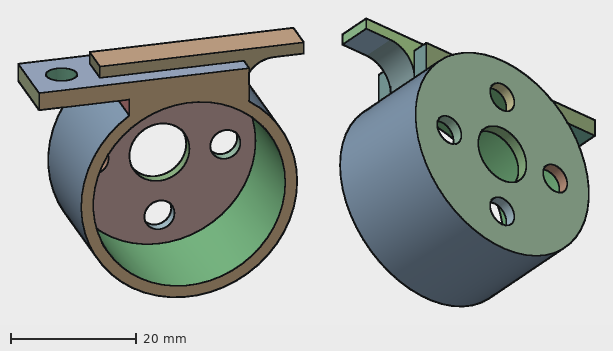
import cadquery as cq

drum_diameter = 36.0
drum_length = 19.0
cavity_diameter = 32.0
end_wall = 2.0
bore_diameter = 10.0
small_hole_diameter = 5.0
bolt_circle_radius = 11.0
bolt_count = 4

plate_width = 12.0
plate_thickness = 3.0
plate_top = 20.8
plate_back = 10.0
plate_front = -25.0
block_front = -plate_back
plate_hole_y = -19.55

bar_width = 6.0
bar_thickness = 2.0
bar_back = 20.0
bar_front = -14.0
fillet_radius = 5.0

plate_start_x = drum_length - plate_width
plate_middle_x = drum_length - plate_width / 2
bar_start_x = plate_middle_x - bar_width / 2


def box(x_start, x_size, y_start, y_end, z_start, z_end):
    """Box placed by its limits along Y and Z and its start and size along X."""
    size = (x_size, y_end - y_start, z_end - z_start)
    return cq.Workplane("XY").box(*size, centered=False).translate((x_start, y_start, z_start))


def cylinder_x(diameter, length, x_start=0.0):
    """Cylinder on the drum axis."""
    return cq.Workplane("YZ").workplane(offset=x_start).circle(diameter / 2).extrude(length)


def bar_support():
    """Concave web between the back of the block and the underside of the bar."""
    arc_centre_y = plate_back + fillet_radius
    arc_centre_z = plate_top - fillet_radius
    corner = box(bar_start_x, bar_width, plate_back, arc_centre_y, arc_centre_z, plate_top)
    round_cut = cylinder_x(2 * fillet_radius, drum_length).translate((0, arc_centre_y, arc_centre_z))
    return corner.cut(round_cut)


def end_wall_holes():
    """Central bore and the ring of small holes through the end wall."""
    ring = (
        cq.Workplane("YZ")
        .polarArray(bolt_circle_radius, 0, 360, bolt_count)
        .circle(small_hole_diameter / 2)
        .extrude(end_wall)
    )
    return cylinder_x(bore_diameter, end_wall).union(ring)


def plate_hole():
    """Vertical hole through the overhanging end of the plate."""
    return (
        cq.Workplane("XY", origin=(plate_middle_x, plate_hole_y, plate_top - plate_thickness))
        .circle(small_hole_diameter / 2)
        .extrude(plate_thickness)
    )


plate = box(plate_start_x, plate_width, plate_front, plate_back, plate_top - plate_thickness, plate_top)
block = box(plate_start_x, plate_width, block_front, plate_back, 0, plate_top)
bar = box(bar_start_x, bar_width, bar_front, bar_back, plate_top, plate_top + bar_thickness)
cavity = cylinder_x(cavity_diameter, drum_length - end_wall, end_wall)

result = (
    cylinder_x(drum_diameter, drum_length)
    .union(block)
    .union(plate)
    .union(bar)
    .union(bar_support())
    .cut(cavity)
    .cut(end_wall_holes())
    .cut(plate_hole())
)